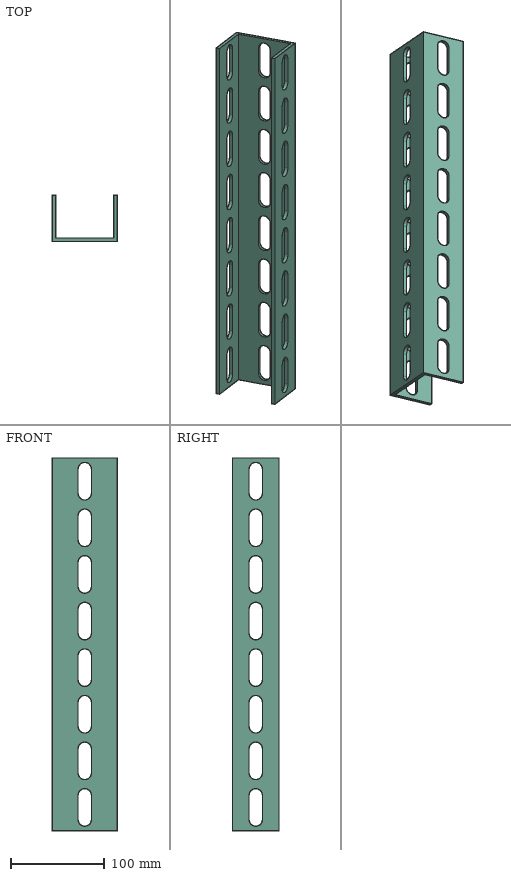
import cadquery as cq

channel_width = 70.0
channel_depth = 50.0
channel_length = 400.0
sheet_thickness = 4.0

slot_count = 8
slot_pitch = channel_length / slot_count
slot_length = 40.0
slot_width = 14.0


def make_channel():
    """U-shaped channel centred on the origin, extruded along Z."""
    block = cq.Workplane("XY").box(channel_width, channel_depth, channel_length)
    hollow = (
        cq.Workplane("XY")
        .box(channel_width - 2 * sheet_thickness, channel_depth, channel_length)
        .translate((0, sheet_thickness, 0))
    )
    return block.cut(hollow)


def make_slot_row(plane, through_depth):
    """Row of vertical slot cutters, evenly spaced about the middle of the channel."""
    return (
        cq.Workplane(plane)
        .rarray(1, slot_pitch, 1, slot_count)
        .slot2D(slot_length, slot_width, 90)
        .extrude(through_depth, both=True)
    )


web_slots = make_slot_row("XZ", channel_depth)
flange_slots = make_slot_row("YZ", channel_width)

result = make_channel().cut(web_slots).cut(flange_slots)